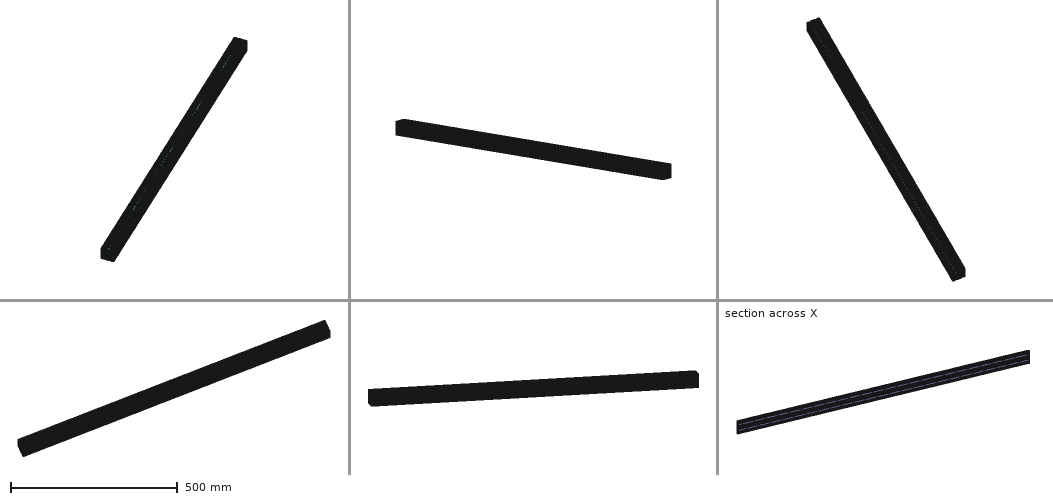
import cadquery as cq

CELL = 20.0
CELLS_PER_SIDE = 2
LENGTH = 1000.0
SIDE = CELLS_PER_SIDE * CELL
HALF_SIDE = SIDE / 2
CELL_CENTRE = CELL / 2
CORNER_RADIUS = 2.0
BORE_DIAMETER = 4.3

MOUTH_WIDTH = 5.0
FLARE_WIDTH = 6.7
FLARE_DEPTH = 0.5
LIP_THICKNESS = 1.8
SLOT_WIDTH = 11.0
FLANK_DEPTH = 3.4
SLOT_DEPTH = 5.5
FLOOR_WIDTH = 7.0
GROOVE_WIDTH = 1.0
GROOVE_DEPTH = 0.3

WALL_THICKNESS = 3.4
CAVITY_END = HALF_SIDE - WALL_THICKNESS
CAVITY_SHOULDER = 10.0
ARM_HALF_WIDTH = 6.6
ARM_END_HALF_WIDTH = 1.8


def profile_plane():
    """XZ plane at the +Y end; extruding from it runs towards -Y."""
    return cq.Workplane("XZ", origin=(0, LENGTH / 2, 0))


def prism(points):
    """Extrude a closed XZ outline along the whole length of the part."""
    return profile_plane().polyline(points).close().extrude(LENGTH)


def turn(body, quarters):
    """Rotate a body about the long axis by a number of quarter turns."""
    return body.rotate((0, 0, 0), (0, 1, 0), 90 * quarters)


def make_bar():
    bar = cq.Workplane("XY").box(SIDE, LENGTH, SIDE)
    return bar.edges("|Y").fillet(CORNER_RADIUS)


def make_slot(centre):
    """T-slot in the top face, centred at the given X."""
    right_half = [
        (FLARE_WIDTH / 2, 0),
        (MOUTH_WIDTH / 2, FLARE_DEPTH),
        (MOUTH_WIDTH / 2, LIP_THICKNESS),
        (SLOT_WIDTH / 2, LIP_THICKNESS),
        (SLOT_WIDTH / 2, FLANK_DEPTH),
        (FLOOR_WIDTH / 2, SLOT_DEPTH),
        (GROOVE_WIDTH / 2, SLOT_DEPTH),
    ]
    groove_root = (0, SLOT_DEPTH + GROOVE_DEPTH)
    left_half = [(-x, depth) for x, depth in reversed(right_half)]
    outline = right_half + [groove_root] + left_half
    return prism([(centre + x, HALF_SIDE - depth) for x, depth in outline])


def make_cavity_bar():
    """One bar of the cavity cross: two opposite arms along Z."""
    upper_arm = [
        (ARM_HALF_WIDTH, CAVITY_SHOULDER),
        (ARM_END_HALF_WIDTH, CAVITY_END),
        (-ARM_END_HALF_WIDTH, CAVITY_END),
        (-ARM_HALF_WIDTH, CAVITY_SHOULDER),
    ]
    lower_arm = [(-x, -z) for x, z in upper_arm]
    return prism(upper_arm + lower_arm)


def make_bores():
    """A through bore in the core of every cell."""
    cores = profile_plane().rarray(CELL, CELL, CELLS_PER_SIDE, CELLS_PER_SIDE)
    return cores.circle(BORE_DIAMETER / 2).extrude(LENGTH)


result = make_bar()
for side in range(4):
    for slot_centre in (-CELL_CENTRE, CELL_CENTRE):
        result = result.cut(turn(make_slot(slot_centre), side))
for direction in range(2):
    result = result.cut(turn(make_cavity_bar(), direction))
result = result.cut(make_bores())